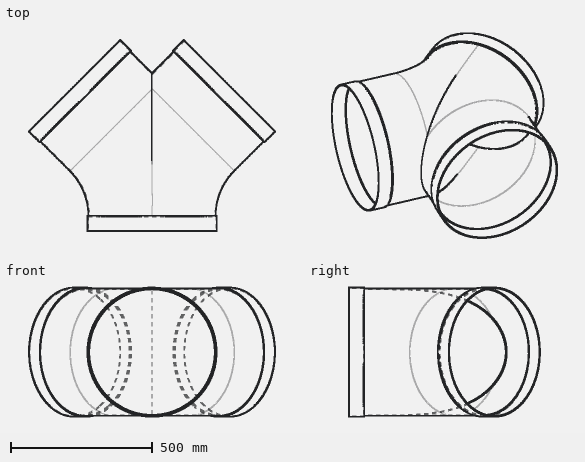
import cadquery as cq
import math

duct_outer = 450.0
duct_inner = 443.0
collar_outer = 457.5
collar_length = 54.0
overall_width = 870.0
bend_angle = 45.0

wall = (duct_outer - duct_inner) / 2
bend_radius = duct_outer
turn = math.radians(bend_angle)
bend_end_x = bend_radius * (1 - math.cos(turn))
bend_end_y = collar_length + bend_radius * math.sin(turn)

rim_reach = collar_outer / 2 * math.cos(turn)
branch_straight = (overall_width / 2 - bend_end_x - rim_reach) / math.sin(turn)
duct_straight = branch_straight - collar_length

inlet_plane = cq.Plane(origin=(0, 0, 0), xDir=(1, 0, 0), normal=(0, 1, 0))


def outlet_plane(side, distance):
    """Plane across a branch, this far past its bend; side is -1 or +1 along X."""
    return cq.Plane(
        origin=(
            side * (bend_end_x + distance * math.sin(turn)),
            bend_end_y + distance * math.cos(turn),
            0,
        ),
        xDir=(0, 0, 1),
        normal=(side * math.sin(turn), math.cos(turn), 0),
    )


def branch(side, diameter, straight):
    """Solid bend from the inlet followed by a straight run."""
    bend = (
        cq.Workplane(inlet_plane)
        .workplane(offset=collar_length)
        .circle(diameter / 2)
        .revolve(bend_angle, (side * bend_radius, 0), (side * bend_radius, side))
    )
    run = cq.Workplane(outlet_plane(side, 0)).circle(diameter / 2).extrude(straight)
    return bend.union(run)


def collar(plane):
    """Plain cylinder as long and as wide as a collar, starting at the given plane."""
    return cq.Workplane(plane).circle(collar_outer / 2).extrude(collar_length)


def collar_bore(plane, start):
    """Socket inside a collar; start is how far along the plane's normal it begins."""
    return (
        cq.Workplane(plane)
        .workplane(offset=start)
        .circle(duct_outer / 2)
        .extrude(collar_length - wall)
    )


result = branch(-1, duct_outer, duct_straight).union(branch(1, duct_outer, duct_straight))
for side in (-1, 1):
    result = result.cut(branch(side, duct_inner, duct_straight))

result = result.union(collar(inlet_plane))
result = result.cut(collar_bore(inlet_plane, 0))

for side in (-1, 1):
    plane = outlet_plane(side, duct_straight)
    bore_through = cq.Workplane(plane).circle(duct_inner / 2).extrude(collar_length)
    result = result.union(collar(plane).cut(bore_through).cut(collar_bore(plane, wall)))